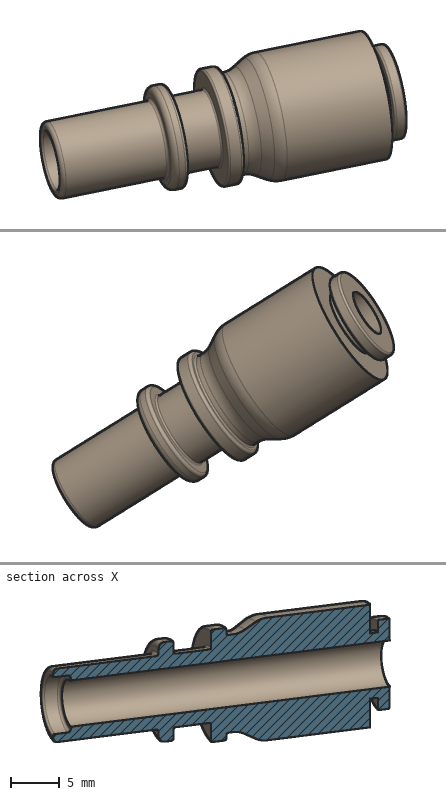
import cadquery as cq
import math

length = 36.85

stem_radius = 4.05
flange_radius = 5.5
collar_radius = 6.2
neck_radius = 5.38
body_radius = 6.75
button_neck_radius = 3.6
button_radius = 4.97

flange_start = 11.55
flange_end = 13.23
collar_start = 17.3
collar_end = 19.0
body_cone_start = 20.38
body_end = 34.7
button_start = 35.52

cone_angle = 30.0
cone_length = (body_radius - neck_radius) / math.tan(math.radians(cone_angle))
body_cone_end = body_cone_start + cone_length

bore_radius = 2.5
counterbore_radius = 3.1
counterbore_depth = 1.9

tip_rounding = 0.48
tip_inner_rounding = 0.22
counterbore_floor_rounding = 0.3
root_rounding = 0.2
flange_front_rounding = 0.65
flange_front_root_rounding = 0.3
flange_back_rounding = 0.37
collar_front_rounding = 0.22
collar_back_rounding = 0.35
cone_rounding = 2.5
button_rounding = 0.22

section_corners = [
    (counterbore_radius, 0, tip_inner_rounding),
    (stem_radius, 0, tip_rounding),
    (stem_radius, flange_start, flange_front_root_rounding),
    (flange_radius, flange_start, flange_front_rounding),
    (flange_radius, flange_end, flange_back_rounding),
    (stem_radius, flange_end, root_rounding),
    (stem_radius, collar_start, root_rounding),
    (collar_radius, collar_start, collar_front_rounding),
    (collar_radius, collar_end, collar_back_rounding),
    (neck_radius, collar_end, root_rounding),
    (neck_radius, body_cone_start, cone_rounding),
    (body_radius, body_cone_end, cone_rounding),
    (body_radius, body_end, 0),
    (button_neck_radius, body_end, 0),
    (button_neck_radius, button_start, 0),
    (button_radius, button_start, button_rounding),
    (button_radius, length, button_rounding),
    (bore_radius, length, 0),
    (bore_radius, counterbore_depth, 0),
    (counterbore_radius, counterbore_depth, counterbore_floor_rounding),
]


def corner_arc(before, corner, after, rounding):
    """Return start, middle and end of the arc that rounds a corner."""
    point = cq.Vector(*corner)
    back = (cq.Vector(*before) - point).normalized()
    ahead = (cq.Vector(*after) - point).normalized()
    half_angle = back.getAngle(ahead) / 2
    setback = rounding / math.tan(half_angle)
    apex_gap = rounding / math.sin(half_angle) - rounding
    bisector = (back + ahead).normalized()
    return [
        (point + offset).toTuple()[:2]
        for offset in (back * setback, bisector * apex_gap, ahead * setback)
    ]


def rounded_outline(corners):
    """Draw a closed outline through the corners, rounding each by its own radius."""
    points = [(radius, station) for radius, station, _ in corners]
    outline = None
    for i, (_, _, rounding) in enumerate(corners):
        before = points[i - 1]
        corner = points[i]
        after = points[(i + 1) % len(points)]
        arc = corner_arc(before, corner, after, rounding) if rounding else [corner]
        if outline is None:
            outline = cq.Workplane("XY").moveTo(*arc[0])
        else:
            outline = outline.lineTo(*arc[0])
        if rounding:
            outline = outline.threePointArc(arc[1], arc[2])
    return outline.close()


full_turn = 360
axis_start = (0, 0, 0)
axis_end = (0, 1, 0)
result = rounded_outline(section_corners).revolve(full_turn, axis_start, axis_end)